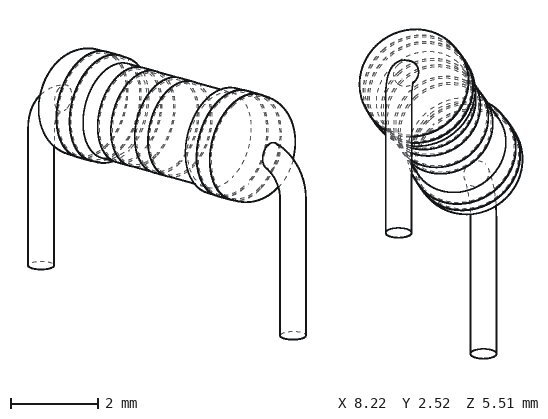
import cadquery as cq

BODY_LENGTH = 6.3
BODY_DIAMETER = 2.25
CAP_DIAMETER = 2.5
CAP_LENGTH = 1.575
CAP_OUTER_FILLET = CAP_DIAMETER / 4
CAP_INNER_FILLET = 0.1

BAND_WIDTH = 0.4
BAND_THICKNESS = 0.05
CAP_BAND_DIAMETER = 2.52
CAP_BAND_POSITIONS = (-2.07, 2.17)
BODY_BAND_DIAMETER = 2.26
BODY_BAND_POSITIONS = (-0.93, 0.19)

LEAD_DIAMETER = 0.6
LEAD_PITCH = 7.62
LEAD_BEND_RADIUS = 0.91
LEAD_DROP = 4.25


def cylinder_along_x(diameter, length, center_x):
    """Solid cylinder on the X axis, centred at center_x."""
    start = cq.Workplane("YZ").workplane(offset=center_x - length / 2)
    return start.circle(diameter / 2).extrude(length)


def make_cap(side):
    """End cap at side -1 or +1, rounded at both rims."""
    cap = cylinder_along_x(CAP_DIAMETER, CAP_LENGTH, side * (BODY_LENGTH - CAP_LENGTH) / 2)
    outer_rim, inner_rim = ("<X", ">X") if side < 0 else (">X", "<X")
    cap = cap.faces(outer_rim).edges().fillet(CAP_OUTER_FILLET)
    return cap.faces(inner_rim).edges().fillet(CAP_INNER_FILLET)


def make_lead(side):
    """Round wire from inside the cap, out, through a quarter bend and straight down."""
    lead_x = side * LEAD_PITCH / 2
    straight = (
        cq.Workplane("XY", origin=(lead_x, 0, -LEAD_DROP))
        .circle(LEAD_DIAMETER / 2)
        .extrude(LEAD_DROP - LEAD_BEND_RADIUS)
    )
    bend_axis_x = -side * LEAD_BEND_RADIUS
    bend = (
        cq.Workplane("XY", origin=(lead_x, 0, -LEAD_BEND_RADIUS))
        .circle(LEAD_DIAMETER / 2)
        .revolve(90, (bend_axis_x, 0), (bend_axis_x, -side))
    )
    return straight.union(bend)


def make_band(outer_diameter, center_x):
    """Colour band ring."""
    ring = cylinder_along_x(outer_diameter, BAND_WIDTH, center_x)
    bore = cylinder_along_x(outer_diameter - 2 * BAND_THICKNESS, BAND_WIDTH, center_x)
    return ring.cut(bore)


band_places = [(CAP_BAND_DIAMETER, center_x) for center_x in CAP_BAND_POSITIONS]
band_places += [(BODY_BAND_DIAMETER, center_x) for center_x in BODY_BAND_POSITIONS]
bands = [make_band(diameter, center_x) for diameter, center_x in band_places]

resistor = cylinder_along_x(BODY_DIAMETER, BODY_LENGTH - CAP_LENGTH, 0)
for side in (-1, 1):
    resistor = resistor.union(make_cap(side)).union(make_lead(side))
for band in bands:
    resistor = resistor.cut(band)

result = cq.Compound.makeCompound([resistor.val(), *[band.val() for band in bands]])